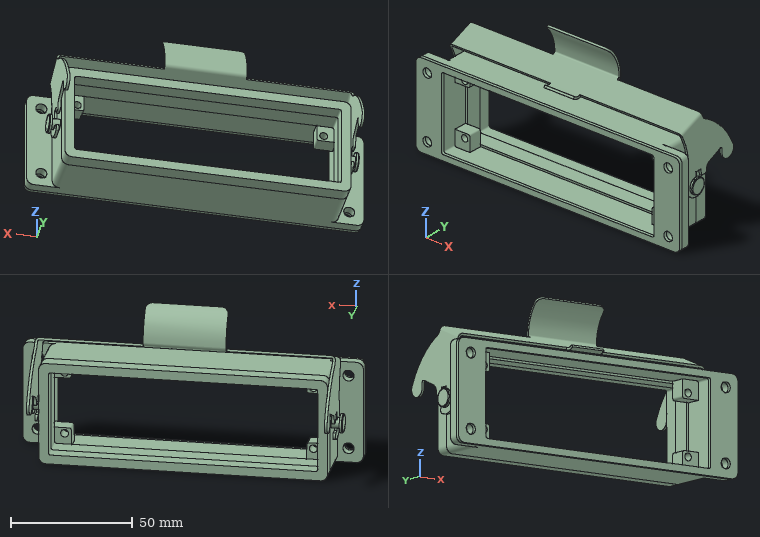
import cadquery as cq
import math


flange_length = 142.5
frame_height = 44.2
body_length = 120.8
outer_radius = 3.0
gasket_thickness = 1.5
flange_rear = 5.7
seal_depth = 6.1
frame_depth = 29.4
seal_front = frame_depth - seal_depth

opening_length = 114.5
opening_height = 38.0
opening_radius = 1.0
ledge_width = 1.0
ledge_y = 15.4
mount_hole_diameter = 4.5
mount_hole_x = 65.0
mount_hole_z = 16.0

boss_length = 8.1
boss_height = 8.1
boss_depth = 6.8
boss_hole_diameter = 3.3
boss_hole_x = 52.0
boss_hole_z = 13.4

pin_y = 19.0
pin_diameter = 4.5
pin_head_diameter = 8.0
pin_head_start = 64.1
pin_end = 65.4
pin_chamfer = 0.35

sheet = 1.1
bend_radius = 2.0
lever_length = 125.7
plate_tilt = 22.2
plate_front_y = 11.1
plate_front_z = 26.2
plate_width = 13.8
pivot_hole_diameter = 4.7

handle_length = 34.8
handle_corner_radius = 3.0
handle_neck = 0.5
handle_radius = 20.0
handle_sweep = 50.6
tab_length = 16.0
tab_curl_radius = 4.5
tab_sweep = 61.0


def slab(length, height, y_start, y_end, corner_radius):
    """Block centred on X and Z with rounded corners, from y_start to y_end."""
    block = cq.Workplane("XY").box(length, y_end - y_start, height)
    return block.edges("|Y").fillet(corner_radius).translate((0, (y_start + y_end) / 2, 0))


def corner_holes(diameter, x, z):
    """Four holes along Y through the whole depth, mirrored about X and Z."""
    centres = [(side * x, level * z) for side in (-1, 1) for level in (-1, 1)]
    return cq.Workplane("XZ").pushPoints(centres).circle(diameter / 2).extrude(-frame_depth)


def front_opening(y_end):
    return slab(opening_length, opening_height, 0, y_end, opening_radius)


def rear_opening(y_start):
    length = opening_length - 2 * ledge_width
    height = opening_height - 2 * ledge_width
    return slab(length, height, y_start, frame_depth, opening_radius)


def make_gasket():
    plate = slab(flange_length, frame_height, 0, gasket_thickness, outer_radius)
    plate = plate.cut(front_opening(gasket_thickness))
    return plate.cut(corner_holes(mount_hole_diameter, mount_hole_x, mount_hole_z))


def make_seal():
    ring = slab(body_length, frame_height, seal_front, frame_depth, outer_radius)
    return ring.cut(rear_opening(seal_front))


def screw_bosses():
    """Bosses on the ledge, each with its free corner rounded."""
    bosses = cq.Workplane("XY")
    centre_x = (opening_length - boss_length) / 2
    centre_z = (opening_height - boss_height) / 2
    for side in (-1, 1):
        for level in (-1, 1):
            boss = cq.Workplane("XY").box(boss_length, boss_depth, boss_height)
            free_corner = cq.selectors.NearestToPointSelector(
                (-side * boss_length / 2, 0, -level * boss_height / 2))
            boss = boss.edges("|Y").edges(free_corner).fillet(opening_radius)
            boss = boss.translate((side * centre_x, ledge_y - boss_depth / 2, level * centre_z))
            bosses = bosses.add(boss)
    bosses = bosses.combine()
    envelope = slab(opening_length, opening_height, 0, ledge_y, opening_radius)
    bosses = bosses.intersect(envelope)
    return bosses.cut(corner_holes(boss_hole_diameter, boss_hole_x, boss_hole_z))


def pivot_pin(side):
    """Headed pin on the housing end at side = -1 or 1."""
    root = body_length / 2
    shank = cq.Workplane("YZ", origin=(root, pin_y, 0)).circle(pin_diameter / 2)
    shank = shank.extrude(pin_head_start - root)
    head = cq.Workplane("YZ", origin=(pin_head_start, pin_y, 0)).circle(pin_head_diameter / 2)
    head = head.extrude(pin_end - pin_head_start).faces(">X").chamfer(pin_chamfer)
    pin = shank.union(head)
    return pin if side > 0 else pin.mirror("YZ")


def make_housing():
    flange = slab(flange_length, frame_height, gasket_thickness, flange_rear, outer_radius)
    flange = flange.cut(corner_holes(mount_hole_diameter, mount_hole_x, mount_hole_z))
    body = slab(body_length, frame_height, gasket_thickness, seal_front, outer_radius)
    housing = flange.union(body).cut(front_opening(ledge_y)).cut(rear_opening(ledge_y))
    housing = housing.union(screw_bosses())
    for side in (-1, 1):
        housing = housing.union(pivot_pin(side))
    return housing


def plate_point(along, above):
    """(Y, Z) of a point measured along the lever plate from its front edge and above its top."""
    tilt = math.radians(plate_tilt)
    y = plate_front_y + along * math.cos(tilt) - above * math.sin(tilt)
    z = plate_front_z + along * math.sin(tilt) + above * math.cos(tilt)
    return y, z


def polar(centre, radius, degrees):
    angle = math.radians(degrees)
    return centre[0] + radius * math.cos(angle), centre[1] + radius * math.sin(angle)


def extrude_across(outline, length):
    """Extrude a YZ outline along X, centred on X = 0."""
    return outline.close().extrude(length / 2, both=True)


def lever_outline():
    """Side shape of the lever arms, up to the top of the plate."""
    outline = cq.Workplane("YZ").moveTo(*plate_point(0, 0)).lineTo(*plate_point(plate_width, 0))
    outline = outline.lineTo(*plate_point(plate_width, -2.3))
    outline = outline.threePointArc((25.6, 28.1), (27.6, 27.0))
    outline = outline.threePointArc((36.9, 19.8), (43.7, 9.5))
    outline = outline.threePointArc((40.5, 3.5), (36.9, 7.4))
    outline = outline.lineTo(36.9, 9.3).threePointArc((36.6, 10.0), (35.8, 10.0))
    outline = outline.lineTo(29.4, 7.0).threePointArc((27.8, 5.8), (27.2, 3.8))
    outline = outline.lineTo(27.2, 3.1).threePointArc((27.0, 2.5), (26.4, 2.3)).lineTo(23.8, 2.3)
    outline = outline.lineTo(23.5, 5.3).lineTo(20.5, 5.3).lineTo(20.5, -2.8).lineTo(23.2, -2.8)
    outline = outline.threePointArc((24.1, -4.4), (23.0, -5.8))
    outline = outline.threePointArc((16.8, -5.3), (14.0, 0.0))
    outline = outline.spline([(15.0, 5.1), (15.5, 10.5), (14.1, 19.1), plate_point(0, -2.3)],
                             includeCurrent=True)
    return outline


def lever_shell():
    """Plate and two arms bent from one sheet."""
    solid = extrude_across(lever_outline(), lever_length)
    top_y, top_z = plate_point(plate_width / 2, 0)
    for side in (-1, 1):
        end = cq.selectors.NearestToPointSelector((side * lever_length / 2, top_y, top_z))
        solid = solid.edges(end).fillet(bend_radius)
    cavity_size = 142.5
    cavity = cq.Workplane("XY").box(lever_length - 2 * sheet, cavity_size, cavity_size)
    cavity = cavity.edges("|Y and >Z").fillet(bend_radius - sheet)
    cavity = cavity.translate((0, 0, -cavity_size / 2)).rotate((0, 0, 0), (1, 0, 0), plate_tilt)
    cavity_y, cavity_z = plate_point(0, -sheet)
    shell = solid.cut(cavity.translate((0, cavity_y, cavity_z)))
    pivot = cq.Workplane("YZ").center(pin_y, 0).circle(pivot_hole_diameter / 2)
    return shell.cut(pivot.extrude(lever_length / 2, both=True))


def handle():
    """Strip that bends up from the rear of the plate into a curved grip."""
    neck_end = plate_width + handle_neck
    bend_centre = plate_point(neck_end, bend_radius - sheet)
    grip_centre = (bend_centre[0] - handle_radius + bend_radius, bend_centre[1])
    bend_start = plate_tilt - 90
    inner_bend = bend_radius - sheet
    inner_grip = handle_radius - sheet
    outline = cq.Workplane("YZ").moveTo(*plate_point(plate_width, -sheet))
    outline = outline.lineTo(*plate_point(neck_end, -sheet))
    outline = outline.threePointArc(polar(bend_centre, bend_radius, bend_start / 2),
                                    polar(bend_centre, bend_radius, 0))
    outline = outline.threePointArc(polar(grip_centre, handle_radius, handle_sweep / 2),
                                    polar(grip_centre, handle_radius, handle_sweep))
    outline = outline.lineTo(*polar(grip_centre, inner_grip, handle_sweep))
    outline = outline.threePointArc(polar(grip_centre, inner_grip, handle_sweep / 2),
                                    polar(grip_centre, inner_grip, 0))
    outline = outline.threePointArc(polar(bend_centre, inner_bend, bend_start / 2),
                                    polar(bend_centre, inner_bend, bend_start))
    outline = outline.lineTo(*plate_point(plate_width, 0))
    strip = extrude_across(outline, handle_length)
    tip_y, tip_z = polar(grip_centre, handle_radius - sheet / 2, handle_sweep)
    for side in (-1, 1):
        corner = cq.selectors.NearestToPointSelector((side * handle_length / 2, tip_y, tip_z))
        strip = strip.edges(corner).fillet(handle_corner_radius)
    return strip


def front_tab():
    """Short strip that curls up from the front edge of the plate."""
    inner = tab_curl_radius - sheet
    curl_centre = plate_point(0, inner)
    start = plate_tilt - 90
    outline = cq.Workplane("YZ").moveTo(*plate_point(0, -sheet))
    outline = outline.threePointArc(polar(curl_centre, tab_curl_radius, start - tab_sweep / 2),
                                    polar(curl_centre, tab_curl_radius, start - tab_sweep))
    outline = outline.lineTo(*polar(curl_centre, inner, start - tab_sweep))
    outline = outline.threePointArc(polar(curl_centre, inner, start - tab_sweep / 2),
                                    polar(curl_centre, inner, start))
    return extrude_across(outline, tab_length)


def make_lever():
    return lever_shell().union(handle()).union(front_tab())


gasket = make_gasket()
housing = make_housing()
seal = make_seal()
lever = make_lever()

result = cq.Compound.makeCompound([gasket.val(), housing.val(), seal.val(), lever.val()])